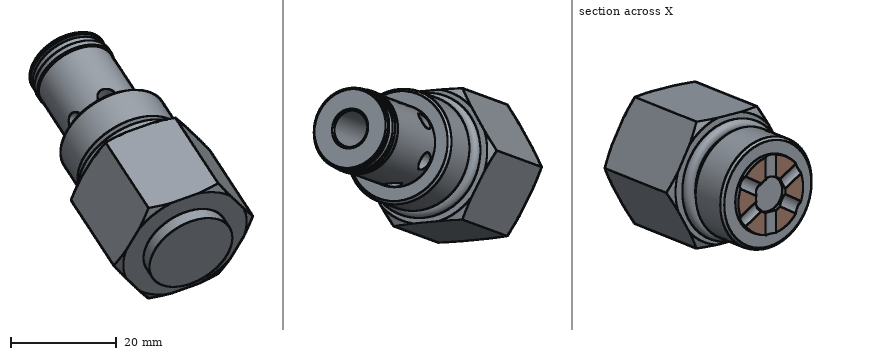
import cadquery as cq
import math


overall_length = 54.35
sleeve_end_x = 19.9
thread_end_x = 27.9
hex_start_x = 31.65
hex_end_x = 51.75

sleeve_diameter = 15.8
sleeve_chamfer = 0.3
bore_diameter = 7.0
bore_chamfer = 0.3
groove_start_x = 0.85
groove_end_x = 4.4
groove_diameter = 13.25

cross_hole_diameter = 3.6
cross_hole_count = 6
cross_hole_x = 17.65

nose_ring_section = 1.8
nose_ring_outer_diameter = 15.9
backup_ring_diameter = 16.2
backup_ring_start_x = 2.95
backup_ring_width = 1.2

thread_diameter = 22.25
thread_chamfer = 0.55
neck_diameter = 19.7
neck_slope_angle = 30.0
hex_across_flats = 25.4
hex_face_diameter = 26.0
hex_chamfer_length = 0.7

hex_ring_section = 2.45
hex_ring_outer_diameter = 24.1
hex_ring_reach = 2.5

plug_diameter = 17.45


def cylinder(diameter, start_x, end_x):
    """Solid cylinder along X between two stations."""
    return cq.Workplane("YZ", origin=(start_x, 0, 0)).circle(diameter / 2).extrude(end_x - start_x)


def turned(points):
    """Solid turned about X from an outline of (x, radius) points."""
    return cq.Workplane("XY").polyline(points).close().revolve(360, (0, 0, 0), (1, 0, 0))


def seal_ring(section, outer_diameter, center_x):
    """Round-section ring around X."""
    center_radius = (outer_diameter - section) / 2
    profile = cq.Workplane("XY").center(center_x, center_radius).circle(section / 2)
    return profile.revolve(360, (0, -center_radius, 0), (1, -center_radius, 0))


def make_sleeve():
    radius = sleeve_diameter / 2
    groove_radius = groove_diameter / 2
    bore_radius = bore_diameter / 2
    sleeve = turned([
        (0, bore_radius + bore_chamfer),
        (0, radius - sleeve_chamfer),
        (sleeve_chamfer, radius),
        (groove_start_x, radius),
        (groove_start_x, groove_radius),
        (groove_end_x, groove_radius),
        (groove_end_x, radius),
        (sleeve_end_x, radius),
        (sleeve_end_x, bore_radius),
        (bore_chamfer, bore_radius),
    ])
    upright_hole = (
        cq.Workplane("XY", origin=(cross_hole_x, 0, 0))
        .circle(cross_hole_diameter / 2)
        .extrude(sleeve_diameter)
    )
    for index in range(cross_hole_count):
        angle = index * 360 / cross_hole_count
        sleeve = sleeve.cut(upright_hole.rotate((0, 0, 0), (1, 0, 0), angle))
    return sleeve


def make_nose_ring():
    """Seal ring flattened against the groove floor, touching the backup ring."""
    ring = seal_ring(nose_ring_section, nose_ring_outer_diameter, backup_ring_start_x - nose_ring_section / 2)
    return ring.cut(cylinder(groove_diameter, groove_start_x, groove_end_x))


def make_backup_ring():
    end_x = backup_ring_start_x + backup_ring_width
    ring = cylinder(backup_ring_diameter, backup_ring_start_x, end_x)
    return ring.cut(cylinder(groove_diameter, backup_ring_start_x, end_x))


def make_threaded_end():
    thread_radius = thread_diameter / 2
    neck_radius = neck_diameter / 2
    slope_end_x = thread_end_x + (thread_radius - neck_radius) * math.tan(math.radians(neck_slope_angle))
    return turned([
        (sleeve_end_x, 0),
        (sleeve_end_x, thread_radius - thread_chamfer),
        (sleeve_end_x + thread_chamfer, thread_radius),
        (thread_end_x, thread_radius),
        (slope_end_x, neck_radius),
        (hex_start_x, neck_radius),
        (hex_start_x, 0),
    ])


def make_hex():
    """Hexagon with flats up and down, its corners chamfered at both ends."""
    corner_diameter = hex_across_flats / math.cos(math.radians(30))
    face_radius = hex_face_diameter / 2
    corner_radius = corner_diameter / 2
    prism = (
        cq.Workplane("YZ", origin=(hex_start_x, 0, 0))
        .polygon(6, corner_diameter)
        .extrude(hex_end_x - hex_start_x)
    )
    chamfer_envelope = turned([
        (hex_start_x, 0),
        (hex_start_x, face_radius),
        (hex_start_x + hex_chamfer_length, corner_radius),
        (hex_end_x - hex_chamfer_length, corner_radius),
        (hex_end_x, face_radius),
        (hex_end_x, 0),
    ])
    return prism.intersect(chamfer_envelope)


def make_housing():
    return make_threaded_end().union(make_hex())


def make_hex_ring():
    """Seal ring flattened against the neck and the hex face."""
    center_x = hex_start_x - hex_ring_reach + hex_ring_section / 2
    ring = seal_ring(hex_ring_section, hex_ring_outer_diameter, center_x)
    return ring.cut(make_housing())


def make_end_plug():
    return cylinder(plug_diameter, hex_end_x, overall_length)


sleeve = make_sleeve()
nose_ring = make_nose_ring()
backup_ring = make_backup_ring()
housing = make_housing()
hex_ring = make_hex_ring()
end_plug = make_end_plug()

result = cq.Compound.makeCompound([
    sleeve.val(),
    nose_ring.val(),
    backup_ring.val(),
    housing.val(),
    hex_ring.val(),
    end_plug.val(),
])